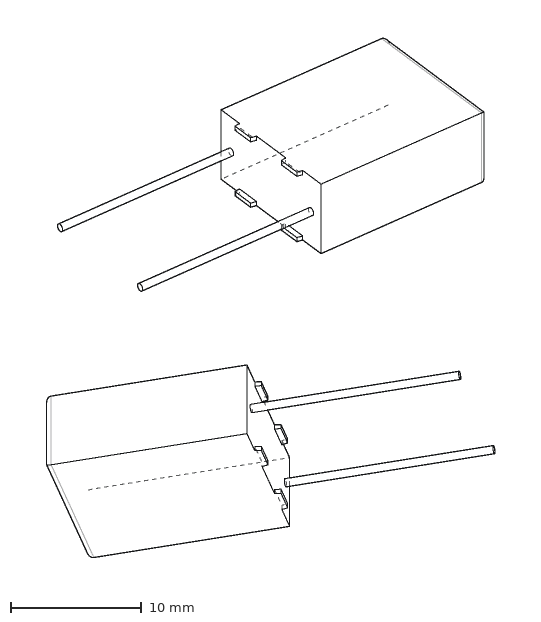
import cadquery as cq

total_length = 32.5
case_width = 12.5
case_depth = 6.5
case_length = 16.0
crown_radius = 0.5

tab_height = 0.5
tab_thickness = 0.4
tab_root_width = 2.15
tab_tip_width = 1.95
tab_offset = 2.9

lead_diameter = 0.65
lead_pitch = 10.0
lead_length = total_length - case_length


def make_tab(center_x, bottom_z):
    """Trapezoidal tab that narrows from the base of the case toward -Y."""
    return (
        cq.Workplane("XY", origin=(center_x, 0, bottom_z))
        .moveTo(-tab_root_width / 2, 0)
        .lineTo(-tab_tip_width / 2, -tab_height)
        .lineTo(tab_tip_width / 2, -tab_height)
        .lineTo(tab_root_width / 2, 0)
        .close()
        .extrude(tab_thickness)
    )


def make_case():
    """Box with a rounded rim around its far end and four tabs on its base."""
    case = (
        cq.Workplane("XY")
        .box(case_width, case_length, case_depth, centered=(True, False, True))
        .faces(">Y")
        .edges()
        .fillet(crown_radius)
    )
    lower_tab_z = -case_depth / 2
    upper_tab_z = case_depth / 2 - tab_thickness
    for center_x in (-tab_offset, tab_offset):
        for bottom_z in (lower_tab_z, upper_tab_z):
            case = case.union(make_tab(center_x, bottom_z))
    return case


def make_lead(center_x):
    """Straight round wire that butts against the base of the case."""
    return (
        cq.Workplane("XZ", origin=(center_x, 0, 0))
        .circle(lead_diameter / 2)
        .extrude(lead_length)
    )


case = make_case()
leads = [make_lead(side * lead_pitch / 2) for side in (-1, 1)]

result = cq.Compound.makeCompound([case.val(), *[lead.val() for lead in leads]])